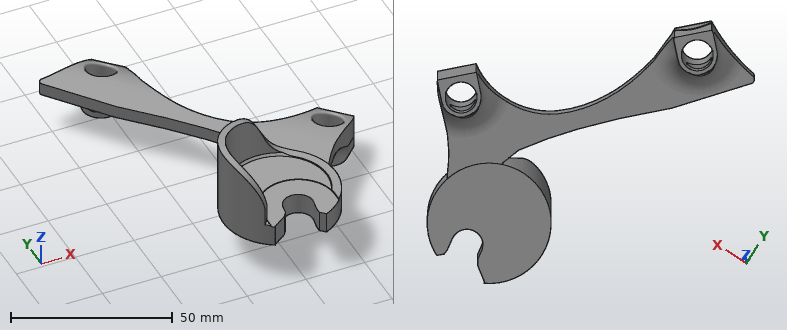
import cadquery as cq
import math

ARM_THICKNESS = 4.4

CUP_RADIUS = 19.2
CUP_OFFSET = (0, -0.4, 0)
CUP_INNER_RADIUS = 16.8
CUP_TOP = 26.3
FLOOR_TOP = 7.4
RIM_TOP = 7.6
WALL_HEIGHTS = [
    (50, RIM_TOP), (60, 8.1), (70, 9.5), (80, 13.3), (98, 22.0), (114, 23.6), (134, 24.7),
    (155, 25.9), (168, CUP_TOP), (187, CUP_TOP), (205, 24.8), (216.6, 22.3), (226, 18.6), (231.5, 13.8),
]
FLOOR_CHAMFER = 0.8
RECESS_DEPTH = 0.2
RECESS_RADIUS = 12.3
SLOT_RADIUS = 4.9
SLOT_CENTRE = (2.0, -9.5)
SLOT_TILT = 10.0

POST_RADIUS = 6.2
POST_BOTTOM = -11.4
POST_BAND = 2.1
BORE_DIAMETER = 9.8
BORE_FILLET = 0.7
SIDE_HOLE_WIDTH = 8.1
SIDE_HOLE_TALL = 5.4
SIDE_HOLE_HEIGHT = -6.1
SIDE_HOLE_CHAMFER = 0.4
FLANGE_ANGLE = 45.0
FACE_DISTANCE = 7.0

MOUNTS = [((-22.6, 81.9), 8.4), ((30.8, 30.5), 13.8)]

CROWN_HALF_WIDTH = 27.2
CUT_MARGIN = 1.1
REACH = 43.5
FLARE_HEIGHT = -POST_BOTTOM - POST_BAND
FLARE_RADIUS = POST_RADIUS + FLARE_HEIGHT


def arm_outline():
    """Closed plan outline of the arm; its lower end runs into the cup."""
    return (
        cq.Workplane("XY")
        .moveTo(-22.0, 91.0)
        .threePointArc((-31.8, 86.1), (-42.1, 83.5))
        .threePointArc((-43.2, 82.6), (-43.1, 81.3))
        .lineTo(-26.9, 61.2)
        .spline([(-15.1, 49.4), (-4.9, 37.9), (5.2, 24.0)], includeCurrent=True)
        .lineTo(7.1, 18.0)
        .lineTo(0, 0)
        .lineTo(18.7, 4.4)
        .threePointArc((22.3, 10.7), (26.8, 16.4))
        .lineTo(34.3, 24.0)
        .threePointArc((37.4, 27.3), (40.0, 31.1))
        .lineTo(31.3, 39.7)
        .threePointArc((16.8, 34.8), (1.6, 40.2))
        .spline([(-6.9, 50.1), (-10.8, 58.2), (-13.9, 71.0)], includeCurrent=True)
        .lineTo(-13.9, 80.5)
        .lineTo(-13.6, 82.9)
        .lineTo(-21.7, 91.0)
        .close()
    )


def place_at_mount(shape, centre):
    """Turn a shape built around the origin, facing +X, into its place on the arm."""
    return shape.rotate((0, 0, 0), (0, 0, 1), FLANGE_ANGLE).translate((*centre, 0))


def flare_arc_middle():
    """Middle point of the quarter arc between the post side and the arm underside."""
    return (
        FLARE_RADIUS - FLARE_HEIGHT * math.sqrt(0.5),
        -FLARE_HEIGHT + FLARE_HEIGHT * math.sqrt(0.5),
    )


def flare_profile(plane):
    """Half section of a post that flares into the arm."""
    return (
        cq.Workplane(plane)
        .moveTo(0, POST_BOTTOM)
        .lineTo(POST_RADIUS, POST_BOTTOM)
        .lineTo(POST_RADIUS, -FLARE_HEIGHT)
        .threePointArc(flare_arc_middle(), (FLARE_RADIUS, 0))
        .lineTo(FLARE_RADIUS, ARM_THICKNESS / 2)
        .lineTo(0, ARM_THICKNESS / 2)
        .close()
    )


def make_post():
    """Round flared post that continues straight to the mounting face, with a side hole at its back."""
    round_part = flare_profile("XZ").revolve(360, (0, 0, 0), (0, 1, 0))
    half_block = flare_profile("YZ").extrude(FACE_DISTANCE)
    post = round_part.union(half_block).union(half_block.mirror("XZ"))
    side_hole = (
        cq.Workplane("YZ").center(0, SIDE_HOLE_HEIGHT)
        .ellipse(SIDE_HOLE_WIDTH / 2, SIDE_HOLE_TALL / 2).extrude(-FLARE_RADIUS)
    )
    mouth_box = cq.selectors.BoxSelector(
        (-FLARE_RADIUS, -SIDE_HOLE_WIDTH, -FLARE_HEIGHT),
        (-CUT_MARGIN, SIDE_HOLE_WIDTH, -CUT_MARGIN),
        boundingbox=True,
    )
    return post.cut(side_hole).edges(mouth_box).chamfer(SIDE_HOLE_CHAMFER)


def make_crown_cut(start):
    """Material removed above the curved top, which drops to the underside at the face."""
    run = start + FACE_DISTANCE
    radius = (run**2 + ARM_THICKNESS**2) / (2 * ARM_THICKNESS)
    half_angle = math.asin(run / radius) / 2
    middle = (
        -start + radius * math.sin(half_angle),
        ARM_THICKNESS - radius * (1 - math.cos(half_angle)),
    )
    return (
        cq.Workplane("XZ")
        .moveTo(-start, ARM_THICKNESS)
        .threePointArc(middle, (FACE_DISTANCE, 0))
        .lineTo(REACH, 0)
        .lineTo(REACH, ARM_THICKNESS)
        .close()
        .extrude(CROWN_HALF_WIDTH, both=True)
    )


def drill_bore(bracket, centre):
    """Through bore on a post axis, its upper edge rounded along the curved crown."""
    bore = (
        cq.Workplane("XY").workplane(offset=POST_BOTTOM)
        .center(*centre).circle(BORE_DIAMETER / 2).extrude(REACH)
    )
    edge_box = cq.selectors.BoxSelector(
        (centre[0] - POST_RADIUS, centre[1] - POST_RADIUS, 0),
        (centre[0] + POST_RADIUS, centre[1] + POST_RADIUS, ARM_THICKNESS),
        boundingbox=True,
    )
    return bracket.cut(bore).edges(edge_box).fillet(BORE_FILLET)


def make_bracket():
    """Arm with its two mounting posts, ending on the cup's outer wall."""
    bracket = arm_outline().extrude(ARM_THICKNESS)
    clip = arm_outline().extrude(POST_BOTTOM).union(bracket)
    for centre, _ in MOUNTS:
        bracket = bracket.union(place_at_mount(make_post(), centre).intersect(clip))
    for centre, crown_start in MOUNTS:
        bracket = bracket.cut(place_at_mount(make_crown_cut(crown_start), centre))
        bracket = drill_bore(bracket, centre)
    cup_space = (
        cq.Workplane("XY").workplane(offset=POST_BOTTOM).circle(CUP_RADIUS).extrude(REACH)
        .translate(CUP_OFFSET)
    )
    return bracket.cut(cup_space)


def wall_crest(radius):
    """Curve of the wall's top edge, carried radially to the given radius."""
    points = []
    for angle, height in WALL_HEIGHTS:
        turn = math.radians(angle)
        points.append(cq.Vector(radius * math.cos(turn), radius * math.sin(turn), height))
    return cq.Edge.makeSpline(points)


def make_space_above_wall():
    """Space above the radially ruled top of the high wall."""
    inner_crest = wall_crest(CUP_INNER_RADIUS - CUT_MARGIN)
    outer_crest = wall_crest(CUP_RADIUS + CUT_MARGIN)
    top_face = cq.Face.makeRuledSurface(inner_crest, outer_crest)
    return cq.Workplane(obj=cq.Solid.extrudeLinear(top_face, cq.Vector(0, 0, REACH)))


def make_space_above_rim():
    """Space above the low rim, from the front end of the high wall round to its right end."""
    start = WALL_HEIGHTS[-1][0]
    sweep = WALL_HEIGHTS[0][0] + 360 - start
    return (
        cq.Workplane("XZ")
        .moveTo(0, RIM_TOP)
        .lineTo(CUP_RADIUS + CUT_MARGIN, RIM_TOP)
        .lineTo(CUP_RADIUS + CUT_MARGIN, REACH)
        .lineTo(0, REACH)
        .close()
        .revolve(sweep, (0, 0, 0), (0, 1, 0))
        .rotate((0, 0, 0), (0, 0, 1), start)
    )


def make_recess():
    """Shallow U-shaped seat around the slot, open to the front."""
    return (
        cq.Workplane("XY").workplane(offset=FLOOR_TOP - RECESS_DEPTH)
        .center(*SLOT_CENTRE)
        .moveTo(-RECESS_RADIUS, 0)
        .threePointArc((0, RECESS_RADIUS), (RECESS_RADIUS, 0))
        .lineTo(RECESS_RADIUS, -CUP_RADIUS)
        .lineTo(-RECESS_RADIUS, -CUP_RADIUS)
        .close()
        .extrude(CUP_TOP)
    )


def make_slot():
    """Tilted through slot whose mouth widens on both sides."""
    slot = (
        cq.Workplane("XY")
        .moveTo(-SLOT_RADIUS, 0)
        .threePointArc((0, SLOT_RADIUS), (SLOT_RADIUS, 0))
        .lineTo(SLOT_RADIUS, -CUP_RADIUS)
        .lineTo(-SLOT_RADIUS, -CUP_RADIUS)
        .close()
        .extrude(CUP_TOP)
        .rotate((0, 0, 0), (0, 0, 1), -SLOT_TILT)
        .translate((*SLOT_CENTRE, 0))
    )
    mouth = (
        cq.Workplane("XY")
        .polyline([(-3.7, -11.9), (-4.5, -13.2), (-9.1, -16.4), (-9.1, -19.6), (7.8, -19.6),
                   (7.8, -17.4), (6.2, -15.9), (6.1, -14.2), (0, -10.9)])
        .close()
        .extrude(CUP_TOP)
    )
    return slot.union(mouth)


def make_cup():
    """Cup with a partly cut-down wall and a slotted floor."""
    cup = cq.Workplane("XY").circle(CUP_RADIUS).extrude(CUP_TOP)
    cavity = (
        cq.Workplane("XY").workplane(offset=FLOOR_TOP)
        .circle(CUP_INNER_RADIUS).extrude(CUP_TOP)
        .faces("<Z").chamfer(FLOOR_CHAMFER)
    )
    cup = cup.cut(cavity).cut(make_space_above_wall()).cut(make_space_above_rim())
    return cup.cut(make_recess()).cut(make_slot()).translate(CUP_OFFSET)


bracket = make_bracket()
cup = make_cup()
result = cq.Compound.makeCompound([bracket.val(), cup.val()])